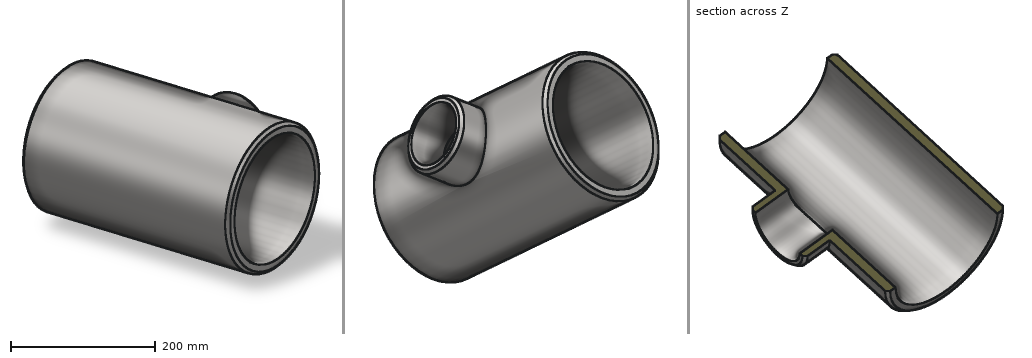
import cadquery as cq

run_length = 355.6
run_diameter = 219.075
run_wall = 15.09

branch_diameter = 114.3
branch_wall = 11.13
branch_reach = 155.45

bevel = 5.0

run_radius = run_diameter / 2
run_bore_radius = run_radius - run_wall
branch_radius = branch_diameter / 2
branch_bore_radius = branch_radius - branch_wall


def run_cylinder(radius):
    """Full-length cylinder along X."""
    return cq.Workplane("YZ").circle(radius).extrude(run_length / 2, both=True)


def branch_cylinder(radius):
    """Cylinder from the run axis out to the branch end along +Y."""
    return cq.Workplane("XZ").circle(radius).extrude(-branch_reach)


outer_run = run_cylinder(run_radius).faces("<X or >X").chamfer(bevel)
outer_branch = branch_cylinder(branch_radius).faces(">Y").chamfer(bevel)

result = (
    outer_run.union(outer_branch)
    .cut(run_cylinder(run_bore_radius))
    .cut(branch_cylinder(branch_bore_radius))
)